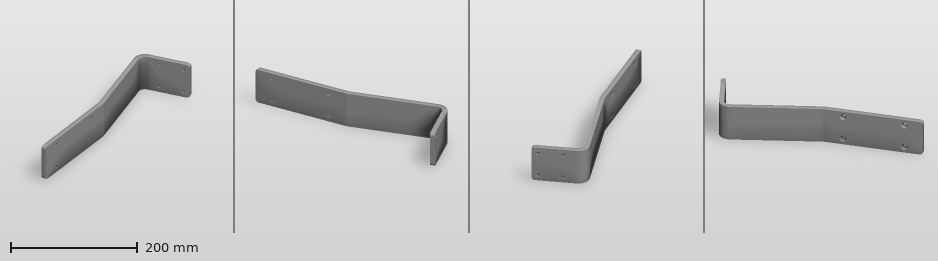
import cadquery as cq
import math

total_x = 123.7
total_y = 325.5
width = 60.0
thickness = 8.0
flange_length = 90.0
leg_angle = 12.0
inner_bend_radius = 10.0
outer_bend_radius = inner_bend_radius + thickness
corner_radius = 5.0

hole_diameter = 5.5
hole_inset = 10.0
flange_hole_pitch = 40.0
countersink_diameter = 10.7
countersink_angle = 90.0
leg_hole_end_distance = 30.0
leg_hole_pitch = 100.0
hole_height = width / 2 - hole_inset

angle = math.radians(leg_angle)
leg_sin = math.sin(angle)
leg_cos = math.cos(angle)
leg_length = (total_x - flange_length) / leg_sin
leg_bend_y = -total_y + leg_length * leg_cos + thickness * leg_sin
inner_bend_y = leg_bend_y - thickness * math.tan(angle / 2)
leg_tip = (-leg_length * leg_sin, leg_bend_y - leg_length * leg_cos)
leg_inner_tip = (leg_tip[0] + thickness * leg_cos, leg_tip[1] - thickness * leg_sin)


def round_edge(body, x, y, radius):
    """Round the vertical edge that passes through (x, y)."""
    return body.edges(cq.selectors.NearestToPointSelector((x, y, 0))).fillet(radius)


def make_bar():
    """Sharp-cornered bar extruded across its width, then rounded at both bends."""
    bar = (
        cq.Workplane("XY")
        .moveTo(flange_length, 0)
        .lineTo(0, 0)
        .lineTo(0, leg_bend_y)
        .lineTo(*leg_tip)
        .lineTo(*leg_inner_tip)
        .lineTo(thickness, inner_bend_y)
        .lineTo(thickness, -thickness)
        .lineTo(flange_length, -thickness)
        .close()
        .extrude(width / 2, both=True)
    )
    bar = round_edge(bar, 0, 0, outer_bend_radius)
    bar = round_edge(bar, thickness, -thickness, inner_bend_radius)
    bar = round_edge(bar, 0, leg_bend_y, inner_bend_radius)
    return round_edge(bar, thickness, inner_bend_y, outer_bend_radius)


def round_end_corners(bar):
    """Round the two corners at the free end of the flange and of the leg."""
    flange_middle = (flange_length, -thickness / 2)
    leg_middle = ((leg_tip[0] + leg_inner_tip[0]) / 2, (leg_tip[1] + leg_inner_tip[1]) / 2)
    for x, y in (flange_middle, leg_middle):
        for z in (-width / 2, width / 2):
            bar = bar.edges(cq.selectors.NearestToPointSelector((x, y, z))).fillet(corner_radius)
    return bar


def drill_flange(bar):
    """Four plain through holes in the flange."""
    last_x = flange_length - hole_inset
    points = [(x, z) for x in (last_x - flange_hole_pitch, last_x) for z in (-hole_height, hole_height)]
    drills = cq.Workplane("XZ").pushPoints(points).circle(hole_diameter / 2).extrude(thickness)
    return bar.cut(drills)


def drill_leg(bar):
    """Four holes square to the leg, countersunk on its outer face."""
    outer_face = cq.Plane(
        origin=(*leg_tip, 0),
        xDir=(leg_sin, leg_cos, 0),
        normal=(-leg_cos, leg_sin, 0),
    )
    distances = (leg_hole_end_distance, leg_hole_end_distance + leg_hole_pitch)
    points = [(d, z) for d in distances for z in (-hole_height, hole_height)]
    return (
        bar.copyWorkplane(cq.Workplane(outer_face))
        .pushPoints(points)
        .cskHole(hole_diameter, countersink_diameter, countersink_angle, depth=thickness)
    )


result = make_bar()
result = round_end_corners(result)
result = drill_flange(result)
result = drill_leg(result)